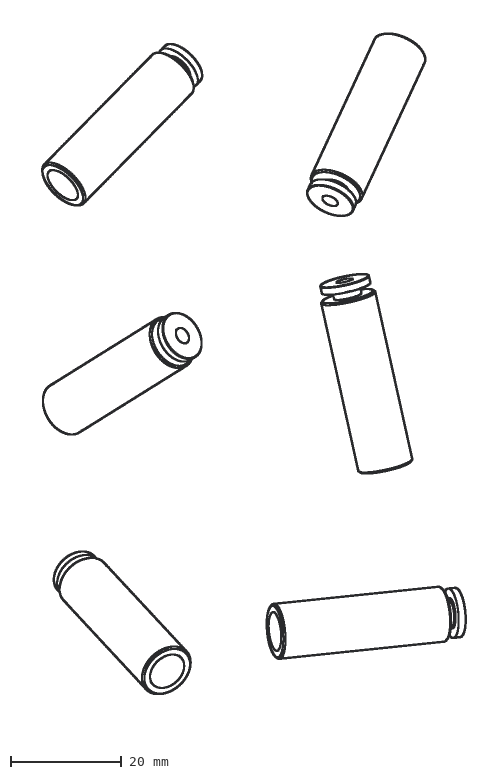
import cadquery as cq
import math

total_length = 34.9
body_diameter = 10.0
body_length = 32.0
body_chamfer = 0.3

head_diameter = 9.0
head_length = 1.4
head_chamfer = 0.1
stem_diameter = 5.1
stem_flare = 0.2

bore_diameter = 7.0
bore_depth = 18.15
through_diameter = 3.0
cone_angle = 118.0

front_y = -total_length / 2
back_y = total_length / 2
body_back_y = front_y + body_length
head_front_y = back_y - head_length


def cylinder(diameter, start_y, end_y):
    """Solid cylinder on the Y axis between two Y positions."""
    plane = cq.Plane(origin=(0, start_y, 0), xDir=(1, 0, 0), normal=(0, 1, 0))
    return cq.Workplane(plane).circle(diameter / 2).extrude(end_y - start_y)


def make_outside():
    """Body and button, flaring at 45 degrees where the stem meets the head."""
    body = cylinder(body_diameter, front_y, body_back_y).faces("<Y or >Y").chamfer(body_chamfer)
    stem = cylinder(stem_diameter, body_back_y, head_front_y)
    head = cylinder(head_diameter, head_front_y, back_y).faces(">Y").chamfer(head_chamfer)
    button = stem.union(head)
    stem_root = cq.selectors.RadiusNthSelector(0)
    button = button.edges(stem_root).edges(">Y").chamfer(stem_flare)
    return body.union(button)


def make_passage():
    """Blind bore with a conical bottom leading into a narrow through hole."""
    bore_radius = bore_diameter / 2
    through_radius = through_diameter / 2
    cone_start_y = front_y + bore_depth
    cone_length = (bore_radius - through_radius) / math.tan(math.radians(cone_angle / 2))
    return (
        cq.Workplane("XY")
        .moveTo(0, front_y)
        .lineTo(bore_radius, front_y)
        .lineTo(bore_radius, cone_start_y)
        .lineTo(through_radius, cone_start_y + cone_length)
        .lineTo(through_radius, back_y)
        .lineTo(0, back_y)
        .close()
        .revolve(360, (0, 0, 0), (0, 1, 0))
    )


result = make_outside().cut(make_passage())